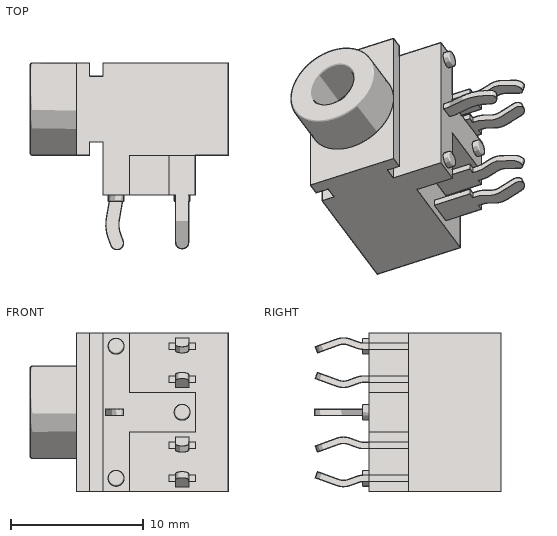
import cadquery as cq
import math

length = 15.0
height = 12.0
overall_depth = 14.13

barrel_length = 3.5
barrel_diameter = 7.0
bore_diameter = 3.6
rim_radius = 0.2

back_y = barrel_diameter / 2
body_face_y = -barrel_diameter / 2
groove_x = 4.5
groove_width = 1.0
groove_depth = 1.0

foot_height = 3.0
board_y = body_face_y - foot_height
foot_x = groove_x + groove_width
foot_bar_width = 2.0
foot_stem_end_x = 12.5
foot_stem_height = 3.0

peg_diameter = 1.2
peg_length = 0.5
peg_edge_radius = 0.1
peg_z = 5.0
foot_bar_center_x = foot_x + foot_bar_width / 2

strip_width = 1.0
strip_thickness = 0.5
tip_radius = strip_width / 2

contact_shoulder_width = 2.0
contact_x = foot_stem_end_x - contact_shoulder_width / 2
contact_inner_z = 2.5
contact_outer_z = 5.0
contact_bend_radius = 1.25
contact_bend_angle = 20.0
contact_root_length = 0.4
contact_slope_length = 0.7
contact_tail_length = 1.23

ground_reach = overall_depth - (back_y - board_y)
ground_bend_radius = 2.5
ground_lean_angle = 10.0
ground_tail_angle = 20.0
ground_root_length = 0.2
ground_slope_length = 1.17


def block(x_start, x_end, y_low, y_high, z_size):
    """Box between the given X and Y limits, centred on Z = 0."""
    return (
        cq.Workplane("XY")
        .box(x_end - x_start, y_high - y_low, z_size, centered=(False, False, True))
        .translate((x_start, y_low, 0))
    )


def make_barrel():
    """Tube with both edges of its mouth rounded. The housing body closes its far end."""
    tube = cq.Workplane("YZ").circle(barrel_diameter / 2).circle(bore_diameter / 2).extrude(barrel_length)
    return tube.faces("<X").edges().fillet(rim_radius)


def make_foot():
    bar = block(foot_x, foot_x + foot_bar_width, board_y, body_face_y, height)
    stem = block(foot_x, foot_stem_end_x, board_y, body_face_y, foot_stem_height)
    return bar.union(stem)


def make_peg(x, z):
    peg = cq.Workplane("XZ").circle(peg_diameter / 2).extrude(peg_length)
    return peg.faces("<Y").edges().fillet(peg_edge_radius).translate((x, board_y, z))


def make_housing():
    housing = block(barrel_length, length, body_face_y, back_y, height)
    for groove_floor_y in (back_y - groove_depth, body_face_y):
        groove = block(groove_x, foot_x, groove_floor_y, groove_floor_y + groove_depth, height)
        housing = housing.cut(groove)
    housing = housing.union(make_foot()).union(make_barrel())
    for x, z in ((foot_bar_center_x, peg_z), (foot_bar_center_x, -peg_z), (contact_x, 0)):
        housing = housing.union(make_peg(x, z))
    return housing


def bend_path(plane, bend_radius, steps):
    """Centre line of a bent strip, drawn in the plane from its origin along its local x.

    Each step is a turn in degrees, positive to the left, followed by a straight length.
    Returns the path, its end point and its end direction.
    """
    path = cq.Workplane(plane)
    along, across, heading = 0.0, 0.0, 0.0
    for turn, straight in steps:
        if turn:
            swing = math.radians(turn)
            side = math.copysign(bend_radius, turn)
            center_along = along - side * math.sin(heading)
            center_across = across + side * math.cos(heading)
            middle = heading + swing / 2
            heading += swing
            arc_middle = (center_along + side * math.sin(middle), center_across - side * math.cos(middle))
            along = center_along + side * math.sin(heading)
            across = center_across - side * math.cos(heading)
            path = path.threePointArc(arc_middle, (along, across))
        along += straight * math.cos(heading)
        across += straight * math.sin(heading)
        path = path.lineTo(along, across)
    end = plane.toWorldCoords((along, across))
    direction = plane.xDir * math.cos(heading) + plane.yDir * math.sin(heading)
    return path, end, direction


def round_tip(center, axis):
    """Disc as thick as the strip that rounds off the end of a terminal."""
    disc = cq.Workplane(cq.Plane(origin=center, normal=axis)).circle(tip_radius)
    return disc.extrude(strip_thickness / 2, both=True)


def make_contact(z, bend_direction):
    """Contact bent in the YZ plane, first towards +Z or -Z as bend_direction is 1 or -1."""
    root = (contact_x, board_y, z)
    plane = cq.Plane(origin=root, xDir=(0, -1, 0), normal=(-1, 0, 0))
    turn = bend_direction * contact_bend_angle
    steps = (
        (0, contact_root_length),
        (turn, contact_slope_length),
        (-2 * turn, contact_tail_length),
    )
    path, end, direction = bend_path(plane, contact_bend_radius, steps)
    strip = cq.Workplane("XZ", origin=root).rect(strip_width, strip_thickness).sweep(path)
    shoulder = block(
        contact_x - contact_shoulder_width / 2,
        contact_x + contact_shoulder_width / 2,
        board_y,
        body_face_y,
        strip_thickness,
    ).translate((0, 0, z))
    tip = round_tip(end, direction.cross(cq.Vector(1, 0, 0)))
    return shoulder.union(strip).union(tip)


def make_ground_terminal():
    """Terminal bent in the XY plane, leaning towards -X and then back towards +X."""
    root = (foot_bar_center_x, board_y, 0)
    plane = cq.Plane(origin=root, xDir=(0, -1, 0), normal=(0, 0, 1))
    lean = math.radians(ground_lean_angle)
    tail = math.radians(ground_tail_angle)
    bends_reach = ground_bend_radius * (2 * math.sin(lean) + math.sin(tail))
    slope_reach = ground_slope_length * math.cos(lean)
    tail_reach = ground_reach - ground_root_length - bends_reach - slope_reach - tip_radius
    steps = (
        (0, ground_root_length),
        (-ground_lean_angle, ground_slope_length),
        (ground_lean_angle + ground_tail_angle, tail_reach / math.cos(tail)),
    )
    path, end, _ = bend_path(plane, ground_bend_radius, steps)
    strip = cq.Workplane("XZ", origin=root).rect(strip_width, strip_thickness).sweep(path)
    return strip.union(round_tip(end, plane.zDir))


housing = make_housing()
ground_terminal = make_ground_terminal()

contacts = []
for z, bend_direction in (
    (contact_outer_z, 1),
    (contact_inner_z, -1),
    (-contact_inner_z, 1),
    (-contact_outer_z, -1),
):
    contacts.append(make_contact(z, bend_direction))

result = cq.Compound.makeCompound(
    [housing.val(), ground_terminal.val(), *[contact.val() for contact in contacts]]
)